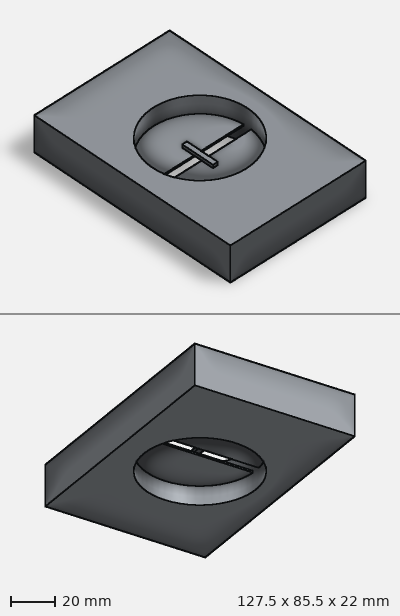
import cadquery as cq

block_length = 127.5
block_width = 85.5
block_height = 22.0

bore_diameter = 60.0
web_thickness = 1.0
web_top = block_height / 2

slot_width = 5.0

bar_length = 20.0
bar_width = 3.0
bar_height = 2.0


def make_block():
    return cq.Workplane("XY").box(
        block_length, block_width, block_height, centered=(True, True, False)
    )


def make_bore():
    return cq.Workplane("XY").circle(bore_diameter / 2).extrude(block_height)


def make_web():
    """Disc across the bore, split in two by the slot."""
    web_bottom = web_top - web_thickness
    disc = (
        cq.Workplane("XY")
        .workplane(offset=web_bottom)
        .circle(bore_diameter / 2)
        .extrude(web_thickness)
    )
    slot = (
        cq.Workplane("XY")
        .workplane(offset=web_bottom)
        .rect(slot_width, bore_diameter)
        .extrude(web_thickness)
    )
    return disc.cut(slot)


def make_bar():
    return (
        cq.Workplane("XY")
        .workplane(offset=web_top)
        .rect(bar_length, bar_width)
        .extrude(bar_height)
    )


result = make_block().cut(make_bore()).union(make_web()).union(make_bar())